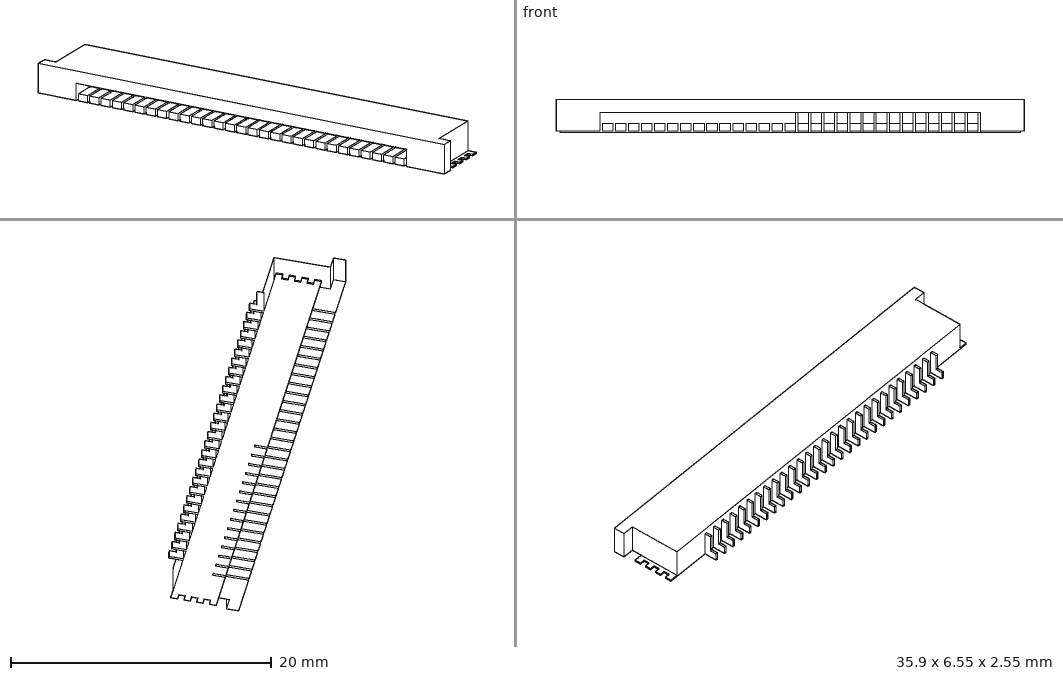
import cadquery as cq


length = 35.92
height = 2.55
depth = 5.42
base_thickness = 0.125

flange_depth = 0.97
body_length = 33.9

pin_count = 28
pin_row_length = 27.0
pitch = pin_row_length / (pin_count - 1)
slot_width = 0.185
slot_count = pin_count + 2
slot_span = (slot_count - 1) * pitch

opening_length = slot_span + slot_width
opening_top = 1.55
opening_depth = 1.83
rib_top = 0.72
groove_depth = 1.0

pin_end = 6.55
pin_shank_end = 5.95
pin_shank_top = 2.1
pin_foot_height = 0.65

tab_half_length = 17.67
comb_root_half_length = 17.25
tab_notch_count = 3
tab_notch_width = pitch / 2


def block(x_range, y_range, z_range):
    """Box between the given limits along each axis."""
    size = [high - low for low, high in (x_range, y_range, z_range)]
    corner = (x_range[0], y_range[0], z_range[0])
    return cq.Workplane("XY").box(*size, centered=False).translate(corner)


def centered(width, middle=0.0):
    """Limits of a width about its middle."""
    return (middle - width / 2, middle + width / 2)


def make_housing():
    """Body with a wider front flange; the underside is relieved in front of the opening's back wall."""
    flange = block(centered(length), (0, flange_depth), (base_thickness, height))
    front = block(centered(body_length), (0, opening_depth), (base_thickness, height))
    back = block(centered(body_length), (opening_depth, depth), (0, height))
    return flange.union(front).union(back)


def make_opening():
    """Space for the cable above the ribs."""
    return block(centered(opening_length), (0, opening_depth), (rib_top, opening_top))


def make_slots():
    """Slots between the ribs; those in the right half run on as grooves in the back wall."""
    groove_end = opening_depth + groove_depth
    slots = cq.Workplane("XY")
    for index in range(slot_count):
        x = index * pitch - slot_span / 2
        slots = slots.add(block(centered(slot_width, x), (0, opening_depth), (0, rib_top)))
        if x > 0:
            slots = slots.add(block(centered(slot_width, x), (0, groove_end), (0, opening_top)))
    return slots.combine()


def make_pins():
    """L-shaped pins: a tall shank on the back wall and a longer foot."""
    profile = [
        (depth, 0),
        (pin_end, 0),
        (pin_end, pin_foot_height),
        (pin_shank_end, pin_foot_height),
        (pin_shank_end, pin_shank_top),
        (depth, pin_shank_top),
    ]
    pin = cq.Workplane("YZ").polyline(profile).close().extrude(slot_width / 2, both=True)
    pins = cq.Workplane("XY")
    for index in range(pin_count):
        pins = pins.add(pin.translate((index * pitch - pin_row_length / 2, 0, 0)))
    return pins.combine()


def make_left_tab():
    """Thin comb-shaped solder tab on the left end."""
    body_end = -body_length / 2
    thickness = (0, base_thickness)
    tab = block((-tab_half_length, body_end), (opening_depth, depth), thickness)
    middle_y = (opening_depth + depth) / 2
    for index in range(tab_notch_count):
        y = middle_y + (index - (tab_notch_count - 1) / 2) * pitch
        y_range = centered(tab_notch_width, y)
        tab = tab.cut(block((-tab_half_length, -comb_root_half_length), y_range, thickness))
    return tab


left_tab = make_left_tab()
result = (
    make_housing()
    .cut(make_opening())
    .cut(make_slots())
    .union(make_pins())
    .union(left_tab)
    .union(left_tab.mirror("YZ"))
)